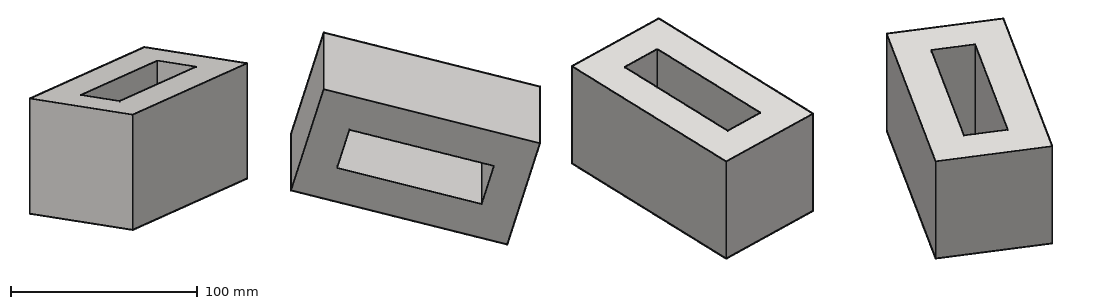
import cadquery as cq

width = 64.0
length = 120.4
height = 64.0
wall = 20.0

slot_width = width - 2 * wall
slot_length = length - 2 * wall

block = cq.Workplane("XY").box(width, length, height)
result = block.faces(">Z").workplane().rect(slot_width, slot_length).cutThruAll()